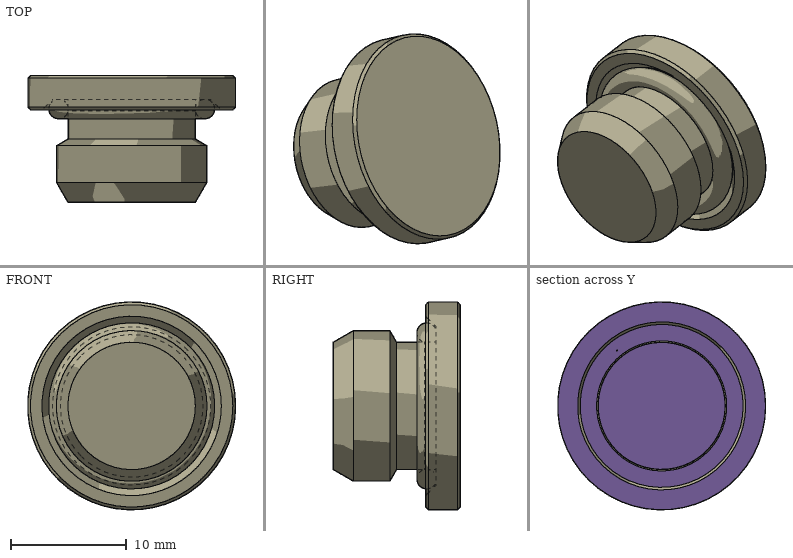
import cadquery as cq
import math

flange_radius = 9.0
flange_thickness = 3.0
flange_chamfer = 0.25
total_length = 11.0

neck_radius = 5.5
neck_end = 5.5
head_radius = 6.52
taper_angle = math.radians(30)

groove_mouth_radius = 7.75
groove_wall_angle = math.radians(45)

ring_tube_radius = 0.85
ring_projection = 0.75
contact_overlap = 0.02

head_step = head_radius - neck_radius
shoulder_length = head_step * math.tan(taper_angle)
tip_length = head_step / math.tan(taper_angle)
ring_center_radius = neck_radius + ring_tube_radius - contact_overlap
ring_center_depth = flange_thickness + ring_projection - ring_tube_radius
groove_floor = ring_center_depth - ring_tube_radius + contact_overlap
groove_depth = flange_thickness - groove_floor
groove_floor_radius = groove_mouth_radius - groove_depth * math.tan(groove_wall_angle)


def revolve_about_y(profile):
    return profile.revolve(360, (0, 0, 0), (0, 1, 0))


def make_body():
    """Flange, seal groove, neck and tapered head as one revolved half profile."""
    profile = [
        (0, 0),
        (flange_radius - flange_chamfer, 0),
        (flange_radius, -flange_chamfer),
        (flange_radius, -flange_thickness + flange_chamfer),
        (flange_radius - flange_chamfer, -flange_thickness),
        (groove_mouth_radius, -flange_thickness),
        (groove_floor_radius, -groove_floor),
        (neck_radius, -groove_floor),
        (neck_radius, -neck_end),
        (head_radius, -neck_end - shoulder_length),
        (head_radius, -total_length + tip_length),
        (head_radius - head_step, -total_length),
        (0, -total_length),
    ]
    return revolve_about_y(cq.Workplane("XY").polyline(profile).close())


def make_seal_ring():
    """Round-section ring resting against the neck and the groove floor."""
    section = cq.Workplane("XY").center(ring_center_radius, -ring_center_depth)
    section = section.circle(ring_tube_radius)
    axis_x = -ring_center_radius
    return section.revolve(360, (axis_x, 0, 0), (axis_x, 1, 0))


result = make_body().union(make_seal_ring())